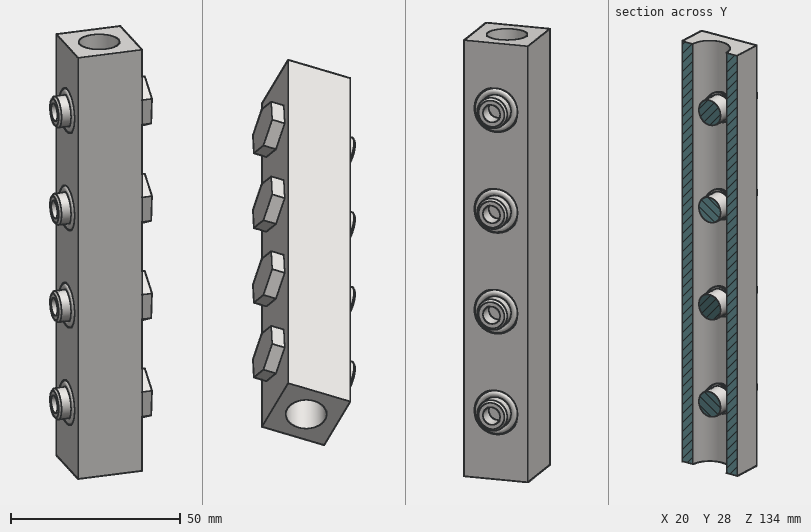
import cadquery as cq

bar_length = 134.0
bar_width = 20.0
bore_diameter = 12.0

bolt_count = 4
bolt_pitch = 31.0
first_bolt_z = (bar_length - (bolt_count - 1) * bolt_pitch) / 2

head_height = 4.0
head_across_flats = 14.1
head_turn = 5.0
head_sides = 6
shank_diameter = 9.4
waist_diameter = 8.0
waist_length = 10.5
tip_length = 4.0
tip_chamfer = 0.7
socket_diameter = 5.4
socket_depth = 5.4

ring_section = 1.9
ring_protrusion = 0.7
ring_mean_radius = (shank_diameter + ring_section) / 2
ring_recess_diameter = 13.5
ring_recess_depth = ring_section - ring_protrusion

front_y = -bar_width / 2
back_y = bar_width / 2
tip_y = front_y - tip_length
bolt_heights = [first_bolt_z + i * bolt_pitch for i in range(bolt_count)]


def cylinder_along_y(diameter, start_y, end_y, z=0):
    """Cylinder on an axis parallel to Y, from start_y to end_y."""
    plane = cq.Plane(origin=(0, start_y, z), xDir=(1, 0, 0), normal=(0, 1, 0))
    return cq.Workplane(plane).circle(diameter / 2).extrude(end_y - start_y)


def make_bar():
    """Square bar with a lengthwise bore and a recessed cross hole for each bolt."""
    bar = cq.Workplane("XY").rect(bar_width, bar_width).extrude(bar_length)
    bar = bar.cut(cq.Workplane("XY").circle(bore_diameter / 2).extrude(bar_length))
    for z in bolt_heights:
        bar = bar.cut(cylinder_along_y(shank_diameter, front_y, back_y, z))
        bar = bar.cut(cylinder_along_y(ring_recess_diameter, front_y, front_y + ring_recess_depth, z))
    return bar


def make_hex_head():
    """Hexagonal head standing on the +Y face."""
    base_plane = cq.Plane(origin=(0, back_y, 0), xDir=(1, 0, 0), normal=(0, 1, 0))
    outline = cq.Workplane(base_plane).polygon(head_sides, head_across_flats, circumscribed=True)
    head = outline.extrude(head_height)
    return head.rotate((0, 0, 0), (0, 1, 0), head_turn)


def make_bolt(z):
    """Hex bolt with a waisted shank and a round socket in its chamfered tip."""
    shank = cylinder_along_y(shank_diameter, tip_y, back_y).faces("<Y").chamfer(tip_chamfer)
    waist_sleeve = cylinder_along_y(shank_diameter, -waist_length / 2, waist_length / 2)
    waist_core = cylinder_along_y(waist_diameter, -waist_length / 2, waist_length / 2)
    bolt = shank.cut(waist_sleeve.cut(waist_core)).union(make_hex_head())
    bolt = bolt.cut(cylinder_along_y(socket_diameter, tip_y, tip_y + socket_depth))
    return bolt.translate((0, 0, z))


def make_ring(z):
    """Round-section sealing ring around the shank."""
    centre_y = front_y + ring_section / 2 - ring_protrusion
    return cq.Solid.makeTorus(
        ring_mean_radius,
        ring_section / 2,
        cq.Vector(0, centre_y, z),
        cq.Vector(0, 1, 0),
    )


bar = make_bar()
bolts = [make_bolt(z).val() for z in bolt_heights]
rings = [make_ring(z) for z in bolt_heights]

result = cq.Compound.makeCompound([bar.val(), *bolts, *rings])